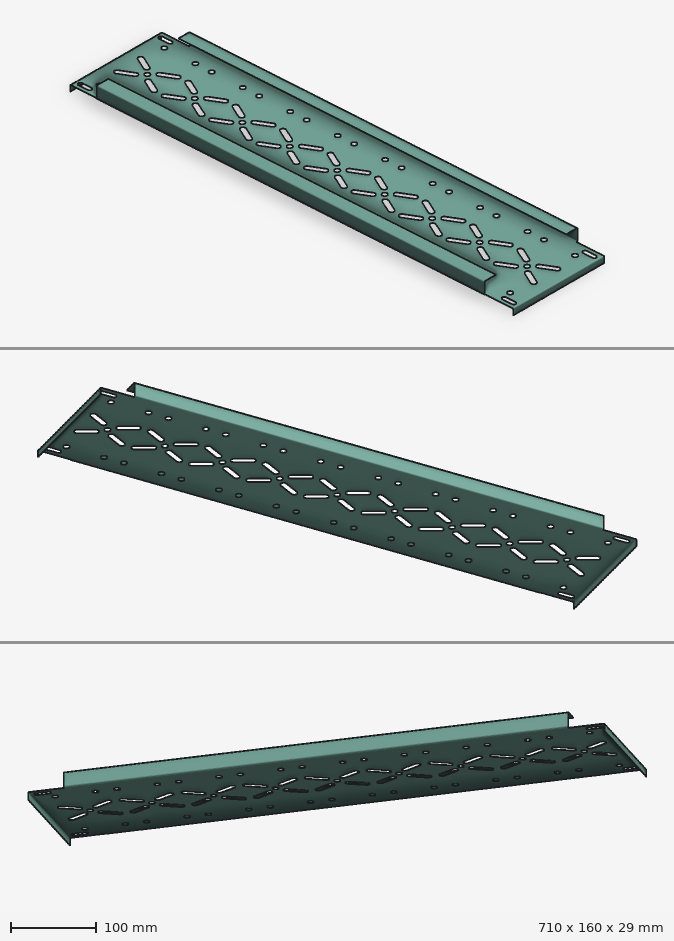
import cadquery as cq

length = 710.0
width = 160.0
height = 29.0
sheet = 1.0
bend_radius = 2.0

lip_height = 10.0
flange_length = 620.5
return_width = 20.0
plate_width = width - 2 * bend_radius
flange_height = height - lip_height + sheet

hole_diameter = 8.0
group_count = 9
group_pitch = 76.0
side_hole_x = 25.0
side_hole_y = 55.5
slanted_slot_length = 30.0
slanted_slot_width = 8.0
slanted_slot_angle = 28.0
slanted_slot_x = 20.0
slanted_slot_y = 15.0

corner_slot_length = 21.0
corner_slot_width = 6.5
corner_slot_inset = 15.5
corner_slot_y = 69.0

SIGNS = (-1, 1)
plate_top = sheet


def end_lip_plate():
    """Flat plate with a lip folded down at each X end."""
    outer = cq.Workplane("XY").box(length, plate_width, lip_height)
    outer = outer.edges("|Y and >Z").fillet(bend_radius)
    inner = cq.Workplane("XY").box(length - 2 * sheet, plate_width, lip_height)
    inner = inner.edges("|Y and >Z").fillet(bend_radius - sheet)
    folded = outer.cut(inner.translate((0, 0, -sheet)))
    return folded.translate((0, 0, plate_top - lip_height / 2))


def side_channel():
    """C-shaped section: plate, upright side flanges and inward returns."""
    outer = cq.Workplane("XY").box(flange_length, width, flange_height)
    outer = outer.edges("|X").fillet(bend_radius)
    inner = cq.Workplane("XY").box(flange_length, width - 2 * sheet, flange_height - 2 * sheet)
    inner = inner.edges("|X").fillet(bend_radius - sheet)
    opening = cq.Workplane("XY").box(flange_length, width - 2 * return_width, flange_height)
    opening = opening.translate((0, 0, flange_height / 2))
    return outer.cut(inner).cut(opening).translate((0, 0, flange_height / 2))


def round_holes(points):
    """Cutters for round holes through the plate."""
    return cq.Workplane("XY").pushPoints(points).circle(hole_diameter / 2).extrude(plate_top)


def slots(points, slot_length, slot_width, angle=0):
    """Cutters for round-ended slots through the plate."""
    outline = cq.Workplane("XY").pushPoints(points).slot2D(slot_length, slot_width, angle)
    return outline.extrude(plate_top)


result = end_lip_plate().union(side_channel())

group_centres = [(i - (group_count - 1) / 2) * group_pitch for i in range(group_count)]
centre_holes = [(x, 0) for x in group_centres]
side_holes = [
    (x + sx * side_hole_x, sy * side_hole_y)
    for x in group_centres
    for sx in SIGNS
    for sy in SIGNS
]
result = result.cut(round_holes(centre_holes + side_holes))

for slope in SIGNS:
    slanted_points = [
        (x + side * slanted_slot_x, side * slope * slanted_slot_y)
        for x in group_centres
        for side in SIGNS
    ]
    slot_angle = slope * slanted_slot_angle
    result = result.cut(slots(slanted_points, slanted_slot_length, slanted_slot_width, slot_angle))

corner_points = [
    (sx * (length / 2 - corner_slot_inset), sy * corner_slot_y)
    for sx in SIGNS
    for sy in SIGNS
]
result = result.cut(slots(corner_points, corner_slot_length, corner_slot_width))